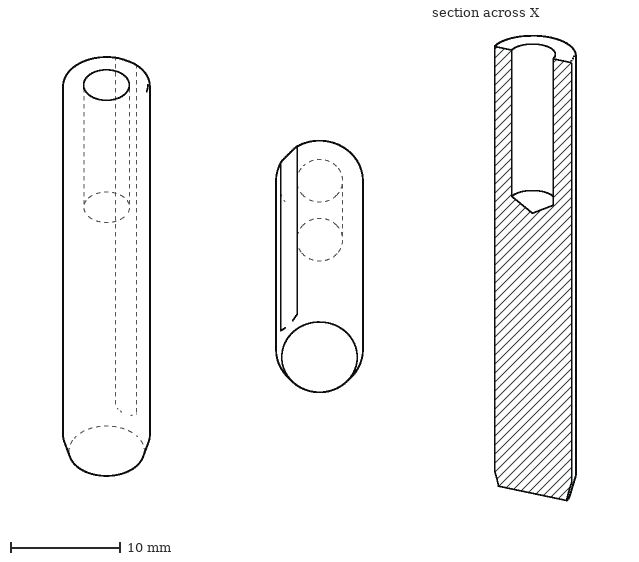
import cadquery as cq
import math

pin_diameter = 8.0
pin_length = 45.0
top_rounding = 0.2
lead_in_height = 2.0
lead_in_angle = 15.0
hole_diameter = 4.2
hole_depth = 15.0
drill_point_angle = 118.0
vent_flat_depth = 0.15

pin_radius = pin_diameter / 2
hole_radius = hole_diameter / 2
lead_in_inset = lead_in_height * math.tan(math.radians(lead_in_angle))
drill_point_height = hole_radius / math.tan(math.radians(drill_point_angle / 2))
hole_floor = pin_length - hole_depth


def make_pin():
    """Dowel pin with its base at Z = 0, tapered below and rounded at the top edge.

    The blind hole in the top end finishes in a conical drill point.
    """
    half_section = (
        cq.Workplane("XZ")
        .moveTo(0, 0)
        .lineTo(pin_radius - lead_in_inset, 0)
        .lineTo(pin_radius, lead_in_height)
        .lineTo(pin_radius, pin_length - top_rounding)
        .radiusArc((pin_radius - top_rounding, pin_length), -top_rounding)
        .lineTo(hole_radius, pin_length)
        .lineTo(hole_radius, hole_floor)
        .lineTo(0, hole_floor - drill_point_height)
        .close()
    )
    return half_section.revolve(360, (0, 0), (0, 1))


def make_vent_flat():
    """Block whose removal leaves a full-length flat on the +Y side."""
    return cq.Workplane("XY").box(
        pin_diameter, vent_flat_depth, pin_length, centered=(True, False, False)
    ).translate((0, pin_radius - vent_flat_depth, 0))


result = make_pin().cut(make_vent_flat())